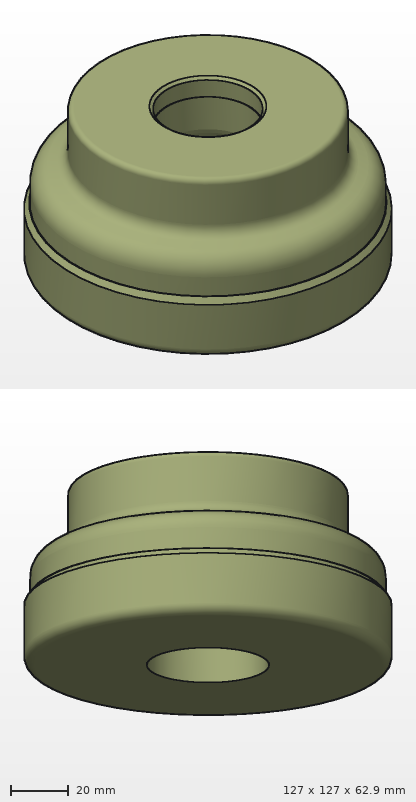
import cadquery as cq
import math

SEAT_Z = 23.7
LOWER_BORE_RADIUS = 21.1

BASE_RADIUS = 63.5
BOTTOM_ROUND = 3.4
RIM_CHAMFER_HEIGHT = 2.3
RIM_CHAMFER_WIDTH = 1.8

TOP_Z = 62.9
SLOPE = math.radians(15)
CAP_RADIUS = 61.5
SHOULDER_Z = 31.4
SHOULDER_ROUND = 8.0
NECK_RADIUS = 48.4
NECK_ROUND = 4.7
TOP_ROUND = 2.0
BORE_RADIUS = 19.0
FLARE_TOP_Z = 41.8
FLARE_MIDDLE_Z = 40.1
FLARE_MIDDLE_RADIUS = 19.4
FLARE_BOTTOM_Z = 36.5
MOUTH_RADIUS = 18.9
MOUTH_BOTTOM_Z = 55.0
MOUTH_CHAMFER_WIDTH = 1.3
MOUTH_CHAMFER_HEIGHT = 1.0


def arc_point(center, radius, angle):
    """Point at an angle on a circle in the radius-height plane."""
    return (center[0] + radius * math.cos(angle), center[1] + radius * math.sin(angle))


def revolve_profile(profile):
    """Turn a closed radius-height outline around the Z axis."""
    return profile.close().revolve(360, (0, 0, 0), (0, 1, 0))


def make_base():
    """Rounded disc with a chamfered rim and a plain bore."""
    round_center = (BASE_RADIUS - BOTTOM_ROUND, BOTTOM_ROUND)
    profile = (
        cq.Workplane("XZ")
        .moveTo(LOWER_BORE_RADIUS, 0)
        .lineTo(BASE_RADIUS - BOTTOM_ROUND, 0)
        .threePointArc(
            arc_point(round_center, BOTTOM_ROUND, math.radians(-45)),
            (BASE_RADIUS, BOTTOM_ROUND),
        )
        .lineTo(BASE_RADIUS, SEAT_Z - RIM_CHAMFER_HEIGHT)
        .lineTo(BASE_RADIUS - RIM_CHAMFER_WIDTH, SEAT_Z)
        .lineTo(LOWER_BORE_RADIUS, SEAT_Z)
    )
    return revolve_profile(profile)


def make_cap():
    """Shouldered cap with a bored neck and a bore that flares downward."""
    normal_angle = math.pi / 2 - SLOPE
    shoulder_center = (CAP_RADIUS - SHOULDER_ROUND, SHOULDER_Z)
    shoulder_end = arc_point(shoulder_center, SHOULDER_ROUND, normal_angle)
    neck_center_radius = NECK_RADIUS + NECK_ROUND
    neck_start_radius = neck_center_radius - NECK_ROUND * math.sin(SLOPE)
    neck_start_z = shoulder_end[1] + (shoulder_end[0] - neck_start_radius) * math.tan(SLOPE)
    neck_center = (neck_center_radius, neck_start_z + NECK_ROUND * math.cos(SLOPE))
    neck_middle_angle = math.pi + normal_angle / 2
    top_round_center = (NECK_RADIUS - TOP_ROUND, TOP_Z - TOP_ROUND)
    profile = (
        cq.Workplane("XZ")
        .moveTo(LOWER_BORE_RADIUS, SEAT_Z)
        .lineTo(CAP_RADIUS, SEAT_Z)
        .lineTo(CAP_RADIUS, SHOULDER_Z)
        .threePointArc(arc_point(shoulder_center, SHOULDER_ROUND, normal_angle / 2), shoulder_end)
        .lineTo(neck_start_radius, neck_start_z)
        .threePointArc(
            arc_point(neck_center, NECK_ROUND, neck_middle_angle),
            (NECK_RADIUS, neck_center[1]),
        )
        .lineTo(NECK_RADIUS, TOP_Z - TOP_ROUND)
        .threePointArc(
            arc_point(top_round_center, TOP_ROUND, math.radians(45)),
            (NECK_RADIUS - TOP_ROUND, TOP_Z),
        )
        .lineTo(MOUTH_RADIUS + MOUTH_CHAMFER_WIDTH, TOP_Z)
        .lineTo(MOUTH_RADIUS, TOP_Z - MOUTH_CHAMFER_HEIGHT)
        .lineTo(MOUTH_RADIUS, MOUTH_BOTTOM_Z)
        .lineTo(BORE_RADIUS, MOUTH_BOTTOM_Z)
        .lineTo(BORE_RADIUS, FLARE_TOP_Z)
        .lineTo(FLARE_MIDDLE_RADIUS, FLARE_MIDDLE_Z)
        .lineTo(LOWER_BORE_RADIUS, FLARE_BOTTOM_Z)
    )
    return revolve_profile(profile)


base = make_base()
cap = make_cap()
result = cq.Compound.makeCompound([base.val(), cap.val()])